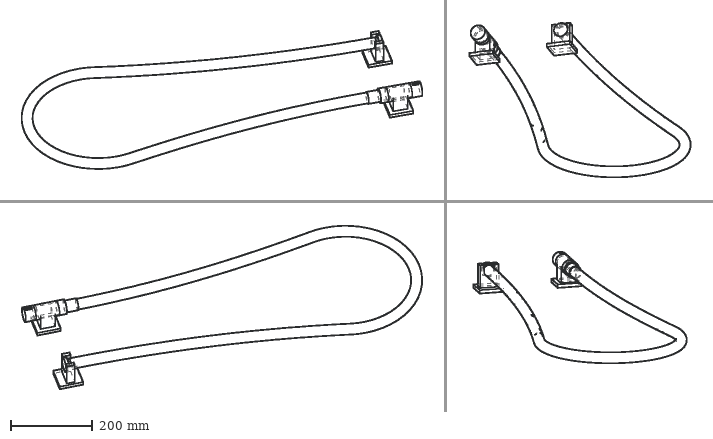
import cadquery as cq
import math

OVERALL_HEIGHT = 69.0
BRACKET_SPACING = 200.0
BRACKET_Y = 739.0
OVERALL_BACK_Y = 795.0

HOSE_RADIUS = 14.0
ARC_RADIUS = 175.0
BEND_ANGLE = math.radians(12)

PLATE_SIDE = 60.0
PLATE_THICKNESS = 9.0
HOOK_WIDTH = 47.0
HOOK_DEPTH = 21.0
HOOK_TOP = 66.0

HANDLE_RADIUS = 19.0
CORE_RADIUS = 15.0
HANDLE_LENGTH = 105.0
TIP_DIAMETER = 30.0
TIP_LENGTH = 30.0
MARK_WIDTH = 6.0
MARK_LENGTH = 15.0
MARK_DEPTH = 2.0
MARK_SETBACK = 5.0
SLEEVE_LENGTH = PLATE_SIDE

HEAD_RADIUS = 18.0
HEAD_LENGTH = 9.0
NECK_LENGTH = 6.0

AXIS_HEIGHT = OVERALL_HEIGHT - HANDLE_RADIUS
HOOK_X = -BRACKET_SPACING / 2
SLEEVE_X = BRACKET_SPACING / 2
HANDLE_FRONT_Y = OVERALL_BACK_Y - HANDLE_LENGTH
TIP_FRONT_Y = HANDLE_FRONT_Y - TIP_LENGTH
SLEEVE_FRONT_Y = BRACKET_Y - SLEEVE_LENGTH / 2
SLEEVE_BACK_Y = BRACKET_Y + SLEEVE_LENGTH / 2
HOOK_BACK_Y = BRACKET_Y + HOOK_DEPTH / 2
HOOK_FRONT_Y = BRACKET_Y - HOOK_DEPTH / 2
HEAD_FRONT_Y = HOOK_BACK_Y - HEAD_LENGTH
NECK_FRONT_Y = HEAD_FRONT_Y - NECK_LENGTH


def rod(x, front_y, back_y, radius):
    """Round bar along Y at the common axis height."""
    return (
        cq.Workplane("XZ", origin=(x, front_y, AXIS_HEIGHT))
        .circle(radius)
        .extrude(front_y - back_y)
    )


def plate_and_post(x, width, depth, top):
    """Square wall plate with a rectangular post standing in its middle."""
    plate = (
        cq.Workplane("XY", origin=(x, BRACKET_Y, 0))
        .rect(PLATE_SIDE, PLATE_SIDE)
        .extrude(PLATE_THICKNESS)
    )
    post = cq.Workplane("XY", origin=(x, BRACKET_Y, 0)).rect(width, depth).extrude(top)
    return plate.union(post)


def make_hook_bracket():
    """Left bracket: U-slot for the neck, open at the top, and a rear pocket for the head."""
    slot = (
        cq.Workplane("XY", origin=(HOOK_X, BRACKET_Y, AXIS_HEIGHT))
        .rect(2 * HOSE_RADIUS, HOOK_DEPTH)
        .extrude(HOOK_TOP - AXIS_HEIGHT)
    )
    neck_seat = rod(HOOK_X, HOOK_FRONT_Y, HOOK_BACK_Y, HOSE_RADIUS)
    head_pocket = rod(HOOK_X, HEAD_FRONT_Y, HOOK_BACK_Y, HEAD_RADIUS)
    body = plate_and_post(HOOK_X, HOOK_WIDTH, HOOK_DEPTH, HOOK_TOP)
    return body.cut(slot).cut(neck_seat).cut(head_pocket)


def make_sleeve_bracket():
    """Right bracket: post carrying a round sleeve bored for the handle."""
    side = 2 * HANDLE_RADIUS
    sleeve = rod(SLEEVE_X, SLEEVE_FRONT_Y, SLEEVE_BACK_Y, HANDLE_RADIUS)
    bore = rod(SLEEVE_X, SLEEVE_FRONT_Y, SLEEVE_BACK_Y, CORE_RADIUS)
    return plate_and_post(SLEEVE_X, side, side, AXIS_HEIGHT).union(sleeve).cut(bore)


def make_handle():
    """Handle: rear cap with an index notch, core through the sleeve, front collar and narrower tip."""
    cap = rod(SLEEVE_X, SLEEVE_BACK_Y, OVERALL_BACK_Y, HANDLE_RADIUS)
    core = rod(SLEEVE_X, SLEEVE_FRONT_Y, SLEEVE_BACK_Y, CORE_RADIUS)
    collar = rod(SLEEVE_X, HANDLE_FRONT_Y, SLEEVE_FRONT_Y, HANDLE_RADIUS)
    tip = rod(SLEEVE_X, TIP_FRONT_Y, HANDLE_FRONT_Y, TIP_DIAMETER / 2)
    mark_y = OVERALL_BACK_Y - MARK_SETBACK - MARK_LENGTH / 2
    mark = (
        cq.Workplane("XY", origin=(SLEEVE_X, mark_y, OVERALL_HEIGHT))
        .rect(MARK_WIDTH, MARK_LENGTH)
        .extrude(-MARK_DEPTH)
    )
    return core.union(cap).union(collar).union(tip).cut(mark)


def make_end_fitting():
    """End fitting: round head in the rear pocket and a neck the size of the hose."""
    head = rod(HOOK_X, HEAD_FRONT_Y, HOOK_BACK_Y, HEAD_RADIUS)
    neck = rod(HOOK_X, NECK_FRONT_Y, HEAD_FRONT_Y, HOSE_RADIUS)
    return head.union(neck)


def arc_point(angle):
    """Point on the loop centreline, measured from +X."""
    return (ARC_RADIUS * math.cos(angle), ARC_RADIUS * math.sin(angle))


def make_hose():
    """Hose: semicircular loop whose ends bend on and run in smooth curves to the fittings."""
    left_bend_end = math.pi - BEND_ANGLE
    path = (
        cq.Workplane("XY", origin=(0, 0, AXIS_HEIGHT))
        .moveTo(HOOK_X, NECK_FRONT_Y)
        .lineTo(HOOK_X, HOOK_FRONT_Y)
        .spline(
            [arc_point(left_bend_end)],
            tangents=[(0, -1), (-math.sin(BEND_ANGLE), -math.cos(BEND_ANGLE))],
            includeCurrent=True,
        )
        .threePointArc(arc_point(math.pi - BEND_ANGLE / 2), arc_point(math.pi))
        .threePointArc(arc_point(-math.pi / 2), arc_point(0))
        .threePointArc(arc_point(BEND_ANGLE / 2), arc_point(BEND_ANGLE))
        .spline(
            [(SLEEVE_X, TIP_FRONT_Y)],
            tangents=[(-math.sin(BEND_ANGLE), math.cos(BEND_ANGLE)), (0, 1)],
            includeCurrent=True,
        )
    )
    return (
        cq.Workplane("XZ", origin=(HOOK_X, NECK_FRONT_Y, AXIS_HEIGHT))
        .circle(HOSE_RADIUS)
        .sweep(path)
    )


hose = make_hose()
hook_bracket = make_hook_bracket()
sleeve_bracket = make_sleeve_bracket()
handle = make_handle()
end_fitting = make_end_fitting()

result = cq.Compound.makeCompound(
    [hose.val(), hook_bracket.val(), sleeve_bracket.val(), handle.val(), end_fitting.val()]
)